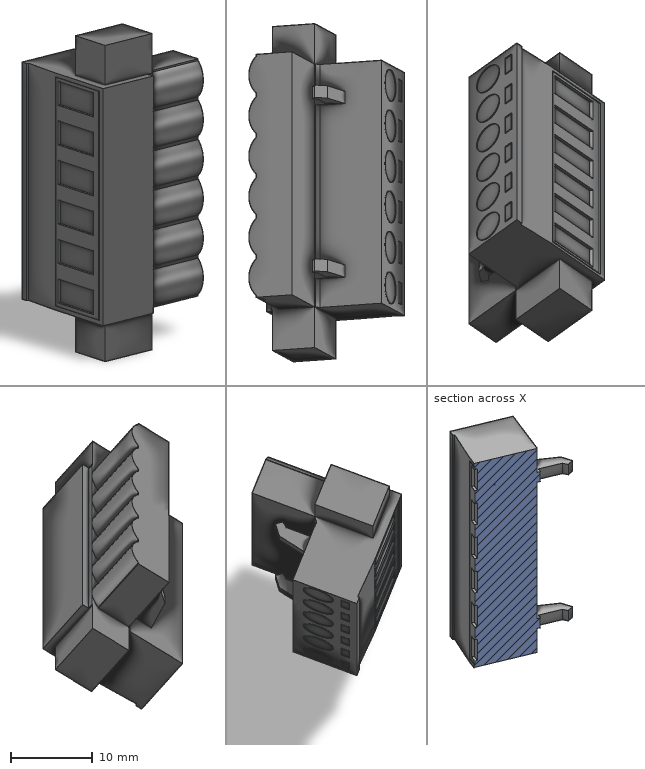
import cadquery as cq
import math


length = 40.65
width = 15.1
depth = 17.2

pole_count = 6
pitch = 5.1
body_length = pole_count * pitch
pole_centers = [(i - (pole_count - 1) / 2) * pitch for i in range(pole_count)]

screw_side_depth = 8.45
shelf_depth = 8.9
step_depth = 8.2
shelf_slope_start = 8.05
hollow_start = 0.85
hollow_end = 6.0
hollow_depth = 0.25
hollow_step_width = 0.1

plug_left = 8.58
plug_right = 14.22
rib_radius = 3.25
rib_height = 0.98
rib_root = plug_right - rib_height

flange_right = 14.1
flange_front = 1.2

latch_width = 1.55
latch_offset = 10.9
latch_root_left = 4.8
latch_inner = 7.0
latch_shoulder = (5.65, 12.45)
latch_tip = (6.95, 13.45)
latch_barb = (7.5, 12.65)
latch_barb_base = 12.05

recess_left = 6.2
recess_right = 14.43
recess_slope = 0.25
recess_depth = 0.1
recess_margin = 0.53
opening_left = 6.62
opening_right = 13.2
opening_slope = 0.25
opening_depth = 0.35
opening_height = 3.1

screw_diameter = 3.95
screw_y = 5.12
slot_y = 1.55
slot_width = 1.1
slot_height = 2.7
marking_depth = 0.12


def prism(points, height, z_center=0.0):
    """Extrude an X-Y outline along Z, centred on z_center."""
    base = cq.Workplane("XY").workplane(offset=z_center - height / 2)
    return base.polyline(points).close().extrude(height)


def make_housing():
    shelf_slope_end = shelf_slope_start + shelf_depth - screw_side_depth
    outline = [
        (0, 0),
        (hollow_start, 0),
        (hollow_start + hollow_step_width, hollow_depth),
        (hollow_end, 0),
        (width, 0),
        (width, step_depth),
        (plug_right, step_depth),
        (plug_right, shelf_depth),
        (shelf_slope_end, shelf_depth),
        (shelf_slope_start, screw_side_depth),
        (0, screw_side_depth),
    ]
    return prism(outline, body_length)


def make_plug():
    """Plug bar with one rounded rib per pole along its +X side."""
    plug_length = depth - step_depth
    bar_outline = [
        (plug_left, step_depth),
        (rib_root, step_depth),
        (rib_root, depth),
        (plug_left, depth),
    ]
    plug = prism(bar_outline, body_length)
    half_chord = math.sqrt(rib_radius**2 - (rib_radius - rib_height) ** 2)
    for z_center in pole_centers:
        rib = (
            cq.Workplane("XZ", origin=(rib_root, step_depth, z_center))
            .moveTo(0, -half_chord)
            .threePointArc((rib_height, 0), (0, half_chord))
            .close()
            .extrude(-plug_length)
        )
        plug = plug.union(rib)
    return plug


def make_flanges():
    """One bar through the housing that sticks out as a flange at each end."""
    outline = [
        (plug_left, flange_front),
        (flange_right, flange_front),
        (flange_right, shelf_depth),
        (plug_left, shelf_depth),
    ]
    return prism(outline, length)


def make_latch(z_center):
    outline = [
        (latch_root_left, screw_side_depth),
        latch_shoulder,
        latch_tip,
        latch_barb,
        (latch_inner, latch_barb_base),
        (latch_inner, shelf_depth),
        (plug_left, shelf_depth),
        (plug_left, screw_side_depth),
    ]
    return prism(outline, latch_width, z_center)


def wire_side_cut(left, right, slope, front, cut_depth, height, z_center=0.0):
    """Pocket from the wire side whose +X wall slopes inward."""
    back = front + cut_depth
    outline = [(left, front), (right, front), (right - slope, back), (left, back)]
    return prism(outline, height, z_center)


def screw_side_cut(z_center):
    """Screw recess and test slot of one pole."""
    face = cq.Workplane("YZ")
    screw = face.center(screw_y, z_center).circle(screw_diameter / 2).extrude(marking_depth)
    slot = face.center(slot_y, z_center).rect(slot_width, slot_height).extrude(marking_depth)
    return screw.union(slot)


result = make_housing().union(make_plug()).union(make_flanges())
for side in (-1, 1):
    result = result.union(make_latch(side * latch_offset))

recess_height = body_length - 2 * recess_margin
result = result.cut(
    wire_side_cut(recess_left, recess_right, recess_slope, 0, recess_depth, recess_height)
)
for z in pole_centers:
    opening = wire_side_cut(
        opening_left, opening_right, opening_slope, recess_depth, opening_depth, opening_height, z
    )
    result = result.cut(opening).cut(screw_side_cut(z))